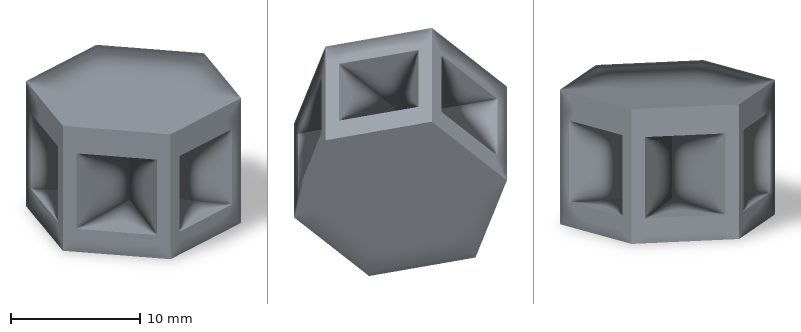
import cadquery as cq
import math

across_corners = 16.93
height = 10.73
side_count = 6
side_length = across_corners / 2
face_distance = side_length * math.sqrt(3) / 2

pocket_width = 6.33
pocket_floor = 1.98
pocket_ceiling = 8.46
floor_rise = 0.14
pocket_depth = pocket_width * math.sqrt(3) / 2


def side_pocket():
    """Pocket solid with its base on the -Y face and its apex pointing inward."""
    mouth_y = -face_distance
    apex_y = mouth_y + pocket_depth
    plan = (
        cq.Workplane("XY")
        .polyline([(-pocket_width / 2, mouth_y), (pocket_width / 2, mouth_y), (0, apex_y)])
        .close()
        .extrude(height)
    )
    profile = (
        cq.Workplane("YZ")
        .polyline([
            (mouth_y, pocket_floor),
            (apex_y, pocket_floor + floor_rise),
            (apex_y, pocket_ceiling),
            (mouth_y, pocket_ceiling),
        ])
        .close()
        .extrude(pocket_width / 2, both=True)
    )
    return plan.intersect(profile)


result = cq.Workplane("XY").polygon(side_count, across_corners).extrude(height)

pocket = side_pocket()
for side in range(side_count):
    angle = side * 360 / side_count
    result = result.cut(pocket.rotate((0, 0, 0), (0, 0, 1), angle))